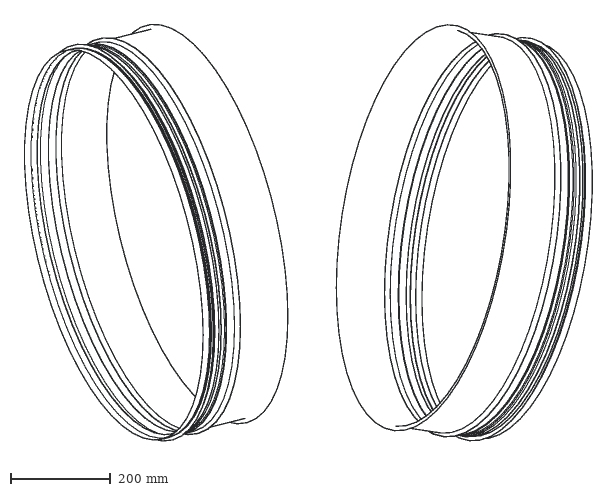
import cadquery as cq
import math

sheet = 0.5
length = 185
tube_radius = 801.6 / 2
flange_radius = 820 / 2
flange_bend = 2
front_y = -length / 2
back_y = front_y + length

bead_height = 6.5
bead_center_y = front_y + 76.5

groove_depth = 5.3
groove_bend = groove_depth / 2
groove_floor_radius = tube_radius - groove_depth
groove_flank_radius = tube_radius - groove_bend
front_groove_y = front_y + 13
front_groove_width = 16.5
back_groove_y = front_y + 34
back_groove_width = 20.5
grooves = [
    (front_groove_y, front_groove_width),
    (back_groove_y, back_groove_width),
]

shoulder_radius = 800.6 / 2
channel_radius = 797 / 2
channel_floor_width = 7
channel_slope = 2
front_channel_y = front_y + 19.2
back_channel_y = front_y + 42

lip_radius = 814.6 / 2
lip_thickness = 0.8


def revolve(profile):
    """Turn a closed profile, drawn as (radius, y), about the Y axis."""
    return profile.close().revolve(360, (0, 0, 0), (0, 1, 0))


def ring(inner_radius, outer_radius, start_y, width):
    end_y = start_y + width
    return revolve(
        cq.Workplane("XY")
        .moveTo(inner_radius, start_y)
        .lineTo(outer_radius, start_y)
        .lineTo(outer_radius, end_y)
        .lineTo(inner_radius, end_y)
    )


def add_groove(outline, start_y, width, offset):
    """Run the outline down the front flank, along the floor and up the back flank."""
    rim = tube_radius - offset
    floor = groove_floor_radius - offset
    rim_bend = groove_bend - offset
    floor_bend = groove_bend + offset
    rim_middle = rim_bend * math.sqrt(0.5)
    floor_middle = floor_bend * math.sqrt(0.5)
    end_y = start_y + width
    floor_start_y = start_y + groove_depth
    floor_end_y = end_y - groove_depth
    return (
        outline.lineTo(rim, start_y)
        .threePointArc(
            (groove_flank_radius + rim_middle, start_y + rim_middle),
            (groove_flank_radius, start_y + rim_bend),
        )
        .threePointArc(
            (groove_flank_radius - floor_middle, floor_start_y - floor_middle),
            (floor, floor_start_y),
        )
        .lineTo(floor, floor_end_y)
        .threePointArc(
            (groove_flank_radius - floor_middle, floor_end_y + floor_middle),
            (groove_flank_radius, end_y - rim_bend),
        )
        .threePointArc(
            (groove_flank_radius + rim_middle, end_y - rim_middle),
            (rim, end_y),
        )
    )


def add_bead(outline, offset):
    wall = tube_radius - offset
    radius = bead_height - offset
    return outline.lineTo(wall, bead_center_y - radius).threePointArc(
        (wall + radius, bead_center_y),
        (wall, bead_center_y + radius),
    )


def add_flange_bend(outline, offset):
    """Quarter-round bend from the tube wall to the flange face."""
    radius = flange_bend + offset
    middle = radius * math.sqrt(0.5)
    center_radius = tube_radius + flange_bend
    center_y = back_y - sheet - flange_bend
    return outline.lineTo(tube_radius - offset, center_y).threePointArc(
        (center_radius - middle, center_y + middle),
        (center_radius, center_y + radius),
    )


def skin_outline(offset):
    """Open outline of the collar skin, moved inward by offset, from the axis to the flange."""
    outline = cq.Workplane("XY").moveTo(0, front_y).lineTo(tube_radius - offset, front_y)
    for start_y, width in grooves:
        outline = add_groove(outline, start_y, width, offset)
    return add_flange_bend(add_bead(outline, offset), offset)


def make_outer_form():
    """Solid bounded by the outside of the collar."""
    return revolve(
        skin_outline(0)
        .lineTo(flange_radius, back_y - sheet)
        .lineTo(flange_radius, back_y)
        .lineTo(0, back_y)
    )


def make_inner_form():
    """Solid bounded by the inside of the collar."""
    return revolve(skin_outline(sheet).lineTo(0, back_y))


def make_channel(floor_y):
    """Cutter for the channel round a seal, widening outward to the shoulders."""
    end_y = floor_y + channel_floor_width
    return revolve(
        cq.Workplane("XY")
        .moveTo(channel_radius, floor_y)
        .lineTo(shoulder_radius, floor_y - channel_slope)
        .lineTo(shoulder_radius, end_y + channel_slope)
        .lineTo(channel_radius, end_y)
    )


def make_seal(groove_y, groove_width, channel_y):
    """Ring that fills a groove up to the shoulders, less its channel."""
    blank = ring(groove_floor_radius, shoulder_radius, groove_y, groove_width)
    return blank.cut(outer_form).cut(make_channel(channel_y))


outer_form = make_outer_form()
collar = outer_form.cut(make_inner_form())

lip = ring(groove_floor_radius, lip_radius, front_channel_y, lip_thickness)
lip_seal = make_seal(front_groove_y, front_groove_width, front_channel_y).union(lip)
plain_seal = make_seal(back_groove_y, back_groove_width, back_channel_y)

result = cq.Compound.makeCompound([collar.val(), *lip_seal.vals(), *plain_seal.vals()])